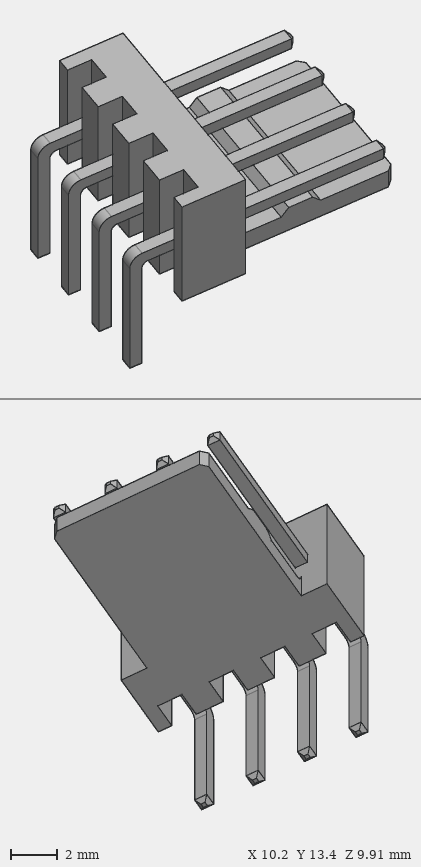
import cadquery as cq
import math

PIN_COUNT = 4
PITCH = 2.54
PIN_WIDTH = 0.6
PIN_AXIS_HEIGHT = PITCH

HOUSING_WIDTH = PIN_COUNT * PITCH
HOUSING_DEPTH = 3.17
HOUSING_HEIGHT = 5.79

SLOT_WIDTH = 1.2
SLOT_DEPTH = 1.2

TONGUE_WIDTH = (PIN_COUNT - 1) * PITCH
TONGUE_LENGTH = 8.18
TONGUE_THICKNESS = 0.99
TONGUE_CORNER_CHAMFER = 0.3
TONGUE_ROOT_RADIUS = 0.4

RIDGE_HEIGHT = 0.4
RIDGE_BASE_START = 2.54
RIDGE_TOP_START = 2.91
RIDGE_TOP_END = 4.1
RIDGE_BASE_END = 4.5

PIN_FRONT_REACH = 2.02
PIN_BACK_REACH = 7.66
PIN_DROP = 4.12
BEND_OUTER_RADIUS = 0.62
BEND_INNER_RADIUS = 0.32
TIP_CHAMFER = 0.2

PIN_POSITIONS = [(i - (PIN_COUNT - 1) / 2) * PITCH for i in range(PIN_COUNT)]
PIN_TOP = PIN_AXIS_HEIGHT + PIN_WIDTH / 2
PIN_UNDERSIDE = PIN_AXIS_HEIGHT - PIN_WIDTH / 2


def make_block():
    """Housing block with a full-height front slot around each pin."""
    block = cq.Workplane("XY").box(
        HOUSING_WIDTH, HOUSING_DEPTH, HOUSING_HEIGHT, centered=(True, False, False)
    )
    slot = cq.Workplane("XY").box(
        SLOT_WIDTH, SLOT_DEPTH, HOUSING_HEIGHT, centered=(True, False, False)
    )
    for x in PIN_POSITIONS:
        block = block.cut(slot.translate((x, 0, 0)))
    return block


def make_tongue():
    """Tongue with latch ridge, rounded root and chamfered rear corners."""
    back = HOUSING_DEPTH
    ridge_top = TONGUE_THICKNESS + RIDGE_HEIGHT
    root_top = TONGUE_THICKNESS + TONGUE_ROOT_RADIUS
    root_end = back + TONGUE_ROOT_RADIUS
    root_offset = TONGUE_ROOT_RADIUS * math.sin(math.radians(45))
    tongue = (
        cq.Workplane("YZ")
        .moveTo(back, 0)
        .lineTo(back + TONGUE_LENGTH, 0)
        .lineTo(back + TONGUE_LENGTH, TONGUE_THICKNESS)
        .lineTo(back + RIDGE_BASE_END, TONGUE_THICKNESS)
        .lineTo(back + RIDGE_TOP_END, ridge_top)
        .lineTo(back + RIDGE_TOP_START, ridge_top)
        .lineTo(back + RIDGE_BASE_START, TONGUE_THICKNESS)
        .lineTo(root_end, TONGUE_THICKNESS)
        .threePointArc((root_end - root_offset, root_top - root_offset), (back, root_top))
        .close()
        .extrude(TONGUE_WIDTH / 2, both=True)
    )
    return tongue.edges("|Z and >Y").chamfer(TONGUE_CORNER_CHAMFER)


def make_pin(x):
    """Square right-angle pin with rounded bend and tapered tips, centred on the given X."""
    front = -PIN_FRONT_REACH
    inner = front + PIN_WIDTH
    rear = HOUSING_DEPTH + PIN_BACK_REACH
    pin = (
        cq.Workplane("YZ")
        .polyline([
            (front, -PIN_DROP),
            (inner, -PIN_DROP),
            (inner, PIN_UNDERSIDE),
            (rear, PIN_UNDERSIDE),
            (rear, PIN_TOP),
            (front, PIN_TOP),
        ])
        .close()
        .extrude(PIN_WIDTH / 2, both=True)
    )
    outer_corner = cq.NearestToPointSelector((0, front, PIN_TOP))
    inner_corner = cq.NearestToPointSelector((0, inner, PIN_UNDERSIDE))
    pin = pin.edges("|X").edges(outer_corner).fillet(BEND_OUTER_RADIUS)
    pin = pin.edges("|X").edges(inner_corner).fillet(BEND_INNER_RADIUS)
    pin = pin.faces(">Y").chamfer(TIP_CHAMFER)
    pin = pin.faces("<Z").chamfer(TIP_CHAMFER)
    return pin.translate((x, 0, 0))


def make_pin_hole(x):
    """Square passage through the housing that a pin fills exactly."""
    return (
        cq.Workplane("XY")
        .box(PIN_WIDTH, HOUSING_DEPTH, PIN_WIDTH, centered=(True, False, True))
        .translate((x, 0, PIN_AXIS_HEIGHT))
    )


def make_housing():
    """Block and tongue as one moulding, pierced by the pin holes."""
    housing = make_block().union(make_tongue())
    for x in PIN_POSITIONS:
        housing = housing.cut(make_pin_hole(x))
    return housing


housing = make_housing()
pins = [make_pin(x) for x in PIN_POSITIONS]

result = cq.Compound.makeCompound([housing.val(), *[pin.val() for pin in pins]])